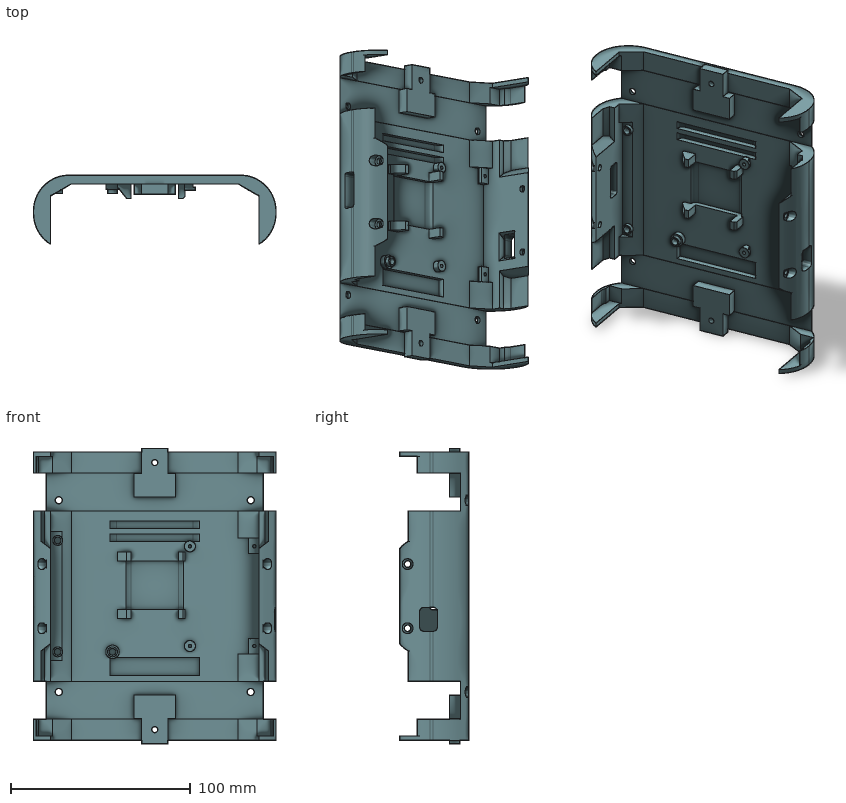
import cadquery as cq
import math


width = 135.0
corner_radius = 20.0
side_flat = 1.5
plate_thickness = 5.0
gap_thickness = 4.75
wall_inner_x = 58.0
ramp_foot_x = 46.4
ramp_angle = 30.0
body_half_height = 80.25
middle_half_height = 47.5
band_inner_z = 68.5
stadium_depth = 2 * corner_radius + side_flat
ramp_top_depth = plate_thickness + (wall_inner_x - ramp_foot_x) * math.tan(math.radians(ramp_angle))

flange_thickness = 2.5
flange_z = body_half_height - flange_thickness
band_ledge_depth = 11.0
band_recess_x = 64.6
band_step_depth = 14.7
band_lip_x = 65.9
band_lip_depth = 18.0
band_wall_end_depth = 28.8

lip_ledge_depth = 17.0
lip_ledge_x = 61.25
lip_slope_depth = 21.0
lip_wall_x = 63.25
lip_taper_inner_z = 26.5
lip_taper_outer_z = 30.5

counterbore_radius = 3.0
wall_hole_radius = 1.75
wall_hole_z = 17.85
wall_hole_depth = 34.1
wall_seat_x = 60.2
corner_hole_radius = 1.9
corner_hole_x = 53.4
corner_hole_z = 53.35
corner_counterbore_depth = 2.75

tab_depth = 10.8
tab_wide_half = 11.5
tab_narrow_half = 7.35
tab_bottom_z = 55.1
tab_shoulder_z = 68.2
tab_top_z = 82.25
tab_hole_z = 74.3
tab_hole_radius = 1.6

slot_half_length = 24.9
slot_height = 4.2
slot_lower_edges = (30.5, 37.5)
slot_depth = 3.5
tray_top_z = -34.2
tray_height = 10.0
tray_depth = 3.5
cavity_half_width = 16.1
cavity_bottom_z = -7.5
cavity_top_z = 19.5
cavity_depth = 3.0

hook_height = 5.0
hook_inner_x = 13.1
hook_outer_x = 16.9
hook_tip_depth = 13.2
hook_chamfer = 1.3
gusset_outer_x = 20.7
gusset_base_depth = 6.7

board_clear_half_height = 32.3
mount_top_depth = 8.6
mount_z = 27.75
mount_hole_radius = 0.9
disc_x = 19.55
disc_radius = 3.1
block_inner_x = 52.25
block_inner_z = 23.6
block_hole_x = 55.4
board_slot_thickness = 1.8
board_edge_near_x = 21.3
board_edge_far_x = 53.2

shelf_inner_x = 51.5
shelf_half_height = 35.9
post_tip_depth = 10.4
post_base_depth = 8.0
post_base_radius = 3.75
post_tip_radius = 2.75
post_bore_radius = 1.9
post_z = 31.0
side_post_x = -54.0
inner_post_x = -23.5

window_depths = (14.2, 21.7)
window_z = (-7.5, 12.5)
window_corner_radius = 1.5
port_recess_depths = (16.7, 28.2)
port_recess_z = (-20.8, -5.0)
port_recess_run = 4.0
port_recess_rise = 3.0
port_depths = (17.5, 27.4)
port_z = (-19.6, -6.2)
port_corner_radius = 2.5

BOTH = (-1, 1)
reach = 100.0


def box(x_range, depth_range, z_range):
    """Box between signed limits, given in either order."""
    x0, x1 = sorted(x_range)
    d0, d1 = sorted(depth_range)
    z0, z1 = sorted(z_range)
    return cq.Workplane("XY").box(x1 - x0, d1 - d0, z1 - z0, centered=False).translate((x0, -d1, z0))


def prism(points, z_range):
    """Vertical prism over a polygon of (x, depth) points."""
    z0, z1 = sorted(z_range)
    outline = [(x, -depth) for x, depth in points]
    return cq.Workplane("XY").workplane(offset=z0).polyline(outline).close().extrude(z1 - z0)


def depth_cylinder(x, z, radius, depth_range):
    """Cylinder along Y between two depths."""
    start, end = depth_range
    return cq.Workplane("XZ", origin=(x, -start, z)).circle(radius).extrude(end - start)


def side_cylinder(x_range, depth, z, radius):
    """Cylinder along X."""
    x0, x1 = sorted(x_range)
    return cq.Workplane("YZ", origin=(x0, -depth, z)).circle(radius).extrude(x1 - x0)


def make_shell():
    """C-shaped shell with ramps inside the corners, cut down to the back plate between its three bands."""
    height = 2 * body_half_height
    shell = cq.Workplane("XY").box(width, stadium_depth, height).edges("|Z").fillet(corner_radius)
    shell = shell.translate((0, -stadium_depth / 2, 0))
    interior = [
        (-ramp_foot_x, plate_thickness),
        (ramp_foot_x, plate_thickness),
        (wall_inner_x, ramp_top_depth),
        (wall_inner_x, reach),
        (-wall_inner_x, reach),
        (-wall_inner_x, ramp_top_depth),
    ]
    shell = shell.cut(prism(interior, (-body_half_height, body_half_height)))
    for end in BOTH:
        gap_z = (end * middle_half_height, end * band_inner_z)
        shell = shell.cut(box((-width, width), (gap_thickness, reach), gap_z))
    return shell


def band_recess(end):
    """Space under an end flange: it thins the band's side walls and shortens them."""
    z0, z1 = sorted((end * band_inner_z, end * flange_z))
    arc_offset = band_lip_x - band_recess_x
    arc_length = band_lip_depth - band_step_depth
    arc_radius = (arc_offset**2 + arc_length**2) / (2 * arc_offset)
    half_angle = math.asin(arc_length / arc_radius) / 2
    middle_x = band_lip_x - arc_radius * (1 - math.cos(half_angle))
    middle_depth = band_lip_depth - arc_radius * math.sin(half_angle)
    half = (
        cq.Workplane("XY")
        .workplane(offset=z0)
        .moveTo(0, -band_ledge_depth)
        .lineTo(band_recess_x, -band_ledge_depth)
        .lineTo(band_recess_x, -band_step_depth)
        .threePointArc((middle_x, -middle_depth), (band_lip_x, -band_lip_depth))
        .lineTo(band_lip_x, -band_wall_end_depth)
        .lineTo(0, -band_wall_end_depth)
        .close()
        .extrude(z1 - z0)
    )
    recess = half.union(half.mirror("YZ"))
    return recess.union(box((-width, width), (band_wall_end_depth, reach), (z0, z1)))


def wall_lip_recess(side, end):
    """Recess inside a side wall, from its tapered edge to the end of the wall."""
    section = [
        (wall_inner_x, lip_ledge_depth),
        (lip_ledge_x, lip_ledge_depth),
        (lip_wall_x, lip_slope_depth),
        (lip_wall_x, stadium_depth),
        (wall_inner_x, stadium_depth),
    ]
    section = [(side * x, depth) for x, depth in section]
    recess = prism(section, (0, end * middle_half_height))
    limit = [
        (side * wall_inner_x, end * lip_taper_inner_z),
        (side * lip_wall_x, end * lip_taper_outer_z),
        (side * lip_wall_x, end * middle_half_height),
        (side * wall_inner_x, end * middle_half_height),
    ]
    return recess.intersect(cq.Workplane("XZ").polyline(limit).close().extrude(stadium_depth))


def wall_screw_hole(side, end):
    z = end * wall_hole_z
    seat = side_cylinder((side * wall_seat_x, side * width / 2), wall_hole_depth, z, counterbore_radius)
    bore = side_cylinder((0, side * width / 2), wall_hole_depth, z, wall_hole_radius)
    return seat.union(bore)


def corner_screw_hole(side, end):
    x = side * corner_hole_x
    z = end * corner_hole_z
    seat = depth_cylinder(x, z, counterbore_radius, (0, corner_counterbore_depth))
    return seat.union(depth_cylinder(x, z, corner_hole_radius, (0, plate_thickness)))


def end_tab(end):
    wide_z = (end * tab_bottom_z, end * tab_shoulder_z)
    wide = box((-tab_wide_half, tab_wide_half), (gap_thickness, tab_depth), wide_z)
    narrow_z = (end * tab_shoulder_z, end * tab_top_z)
    narrow = box((-tab_narrow_half, tab_narrow_half), (plate_thickness, tab_depth), narrow_z)
    neck_z = (end * tab_shoulder_z, end * band_inner_z)
    neck = box((-tab_narrow_half, tab_narrow_half), (gap_thickness, plate_thickness), neck_z)
    return wide.union(narrow).union(neck)


def scooped_recess(half_length, depth, z_range):
    """Plate recess whose two ends curve down to the floor with a radius equal to its depth."""
    z0, z1 = z_range
    floor_y = depth - plate_thickness
    floor_half_length = half_length - depth
    return (
        cq.Workplane("XY")
        .workplane(offset=z0)
        .moveTo(-half_length, -plate_thickness)
        .radiusArc((-floor_half_length, floor_y), depth)
        .lineTo(floor_half_length, floor_y)
        .radiusArc((half_length, -plate_thickness), depth)
        .close()
        .extrude(z1 - z0)
    )


def hook(side, bottom_z):
    outline = [
        (hook_inner_x, plate_thickness),
        (hook_inner_x, hook_tip_depth),
        (hook_outer_x - hook_chamfer, hook_tip_depth),
        (hook_outer_x, hook_tip_depth - hook_chamfer),
        (hook_outer_x, plate_thickness),
    ]
    if side < 0:
        outline[-2:] = [
            (gusset_outer_x, gusset_base_depth),
            (gusset_outer_x, plate_thickness),
        ]
    return prism([(side * x, depth) for x, depth in outline], (bottom_z, bottom_z + hook_height))


def add_small_board_mount(body):
    """Two discs and two blocks, undercut so a board slides in between them."""
    clear_z = (-board_clear_half_height, board_clear_half_height)
    body = body.cut(box((ramp_foot_x, wall_inner_x), (plate_thickness, ramp_top_depth), clear_z))
    mount_depths = (plate_thickness, mount_top_depth)
    for end in BOTH:
        z = end * mount_z
        block_z = (end * block_inner_z, end * board_clear_half_height)
        mounts = box((block_inner_x, wall_inner_x), mount_depths, block_z)
        mounts = mounts.union(depth_cylinder(disc_x, z, disc_radius, mount_depths))
        board_depths = (plate_thickness, plate_thickness + board_slot_thickness)
        mounts = mounts.cut(box((board_edge_near_x, board_edge_far_x), board_depths, clear_z))
        for x in (disc_x, block_hole_x):
            mounts = mounts.cut(depth_cylinder(x, z, mount_hole_radius, mount_depths))
        body = body.union(mounts)
    return body


def add_large_board_mount(body):
    """A shelf cut into the -X ramp with two posts, and a stepped post on the plate."""
    shelf_z = (-shelf_half_height, shelf_half_height)
    shelf_depths = (post_base_depth, ramp_top_depth)
    body = body.cut(box((-wall_inner_x, -shelf_inner_x), shelf_depths, shelf_z))
    base = depth_cylinder(inner_post_x, -post_z, post_base_radius, (plate_thickness, post_base_depth))
    body = body.union(base)
    for x, z in ((side_post_x, post_z), (side_post_x, -post_z), (inner_post_x, -post_z)):
        body = body.union(depth_cylinder(x, z, post_tip_radius, (plate_thickness, post_tip_depth)))
        body = body.cut(depth_cylinder(x, z, post_bore_radius, (plate_thickness, post_tip_depth)))
    return body


def side_opening(side, depths, z_range, radius):
    """Rounded opening through one side wall."""
    opening = box((side * wall_inner_x, side * width / 2), depths, z_range)
    return opening.edges("|X").fillet(radius)


def port_recess():
    """Recess inside the +X wall with a sloped top and bottom."""
    bottom, top = port_recess_z
    near, far = port_recess_depths
    floor_x = wall_inner_x + port_recess_run
    outline = [
        (wall_inner_x, bottom),
        (floor_x, bottom + port_recess_rise),
        (floor_x, top - port_recess_rise),
        (wall_inner_x, top),
    ]
    return cq.Workplane("XZ", origin=(0, -near, 0)).polyline(outline).close().extrude(far - near)


body = make_shell()

for end in BOTH:
    body = body.cut(band_recess(end))
    body = body.union(end_tab(end))
    body = body.cut(depth_cylinder(0, end * tab_hole_z, tab_hole_radius, (0, tab_depth)))
    for side in BOTH:
        body = body.cut(wall_lip_recess(side, end))
        body = body.cut(wall_screw_hole(side, end))
        body = body.cut(corner_screw_hole(side, end))

for lower_edge in slot_lower_edges:
    body = body.cut(scooped_recess(slot_half_length, slot_depth, (lower_edge, lower_edge + slot_height)))
body = body.cut(scooped_recess(cavity_half_width, cavity_depth, (cavity_bottom_z, cavity_top_z)))
tray_depths = (plate_thickness - tray_depth, plate_thickness)
tray_z = (tray_top_z - tray_height, tray_top_z)
body = body.cut(box((-slot_half_length, slot_half_length), tray_depths, tray_z))

for side in BOTH:
    for bottom_z in (cavity_bottom_z - hook_height, cavity_top_z):
        body = body.union(hook(side, bottom_z))

body = add_small_board_mount(body)
body = add_large_board_mount(body)

body = body.cut(side_opening(-1, window_depths, window_z, window_corner_radius))
body = body.cut(port_recess())
body = body.cut(side_opening(1, port_depths, port_z, port_corner_radius))

result = body